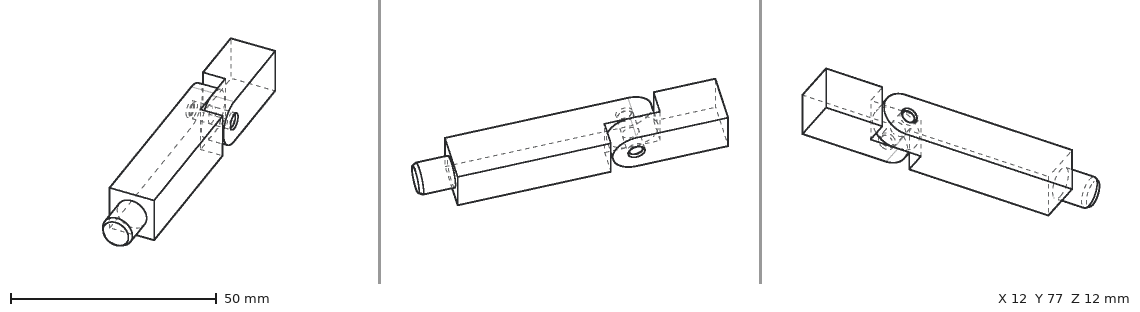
import cadquery as cq
import math


bar_side = 12.0
half_side = bar_side / 2

total_length = 77.0
pivot_to_short_end = 23.0
shaft_length = 9.0
long_lug_reach = 7.0
end_clearance = 0.5

shaft_diameter = 8.0
shaft_chamfer_length = 1.0
shaft_chamfer_angle = 30

pin_diameter = 4.2
pin_chamfer = 0.5
pin_recess = 0.5

short_end_y = pivot_to_short_end
shaft_end_y = short_end_y - total_length
bar_end_y = shaft_end_y + shaft_length
shaft_chamfer_radial = shaft_chamfer_length * math.tan(math.radians(shaft_chamfer_angle))
long_tip_y = long_lug_reach
short_tip_y = -half_side
short_shoulder_y = long_tip_y + end_clearance
long_shoulder_y = short_tip_y - end_clearance


def block(x_start, x_end, y_start, y_end):
    """Full-height block, centred on the pivot axis in Z."""
    return cq.Workplane("XY").box(
        x_end - x_start, y_end - y_start, bar_side, centered=(False, False, True)
    ).translate((x_start, y_start, 0))


def x_cylinder(diameter, x_start, x_end, y=0.0):
    """Cylinder along X between two X positions."""
    return (
        cq.Workplane("YZ", origin=(x_start, y, 0))
        .circle(diameter / 2)
        .extrude(x_end - x_start)
    )


def rounded_lug(x_start, x_end, root_y, round_centre_y):
    """Half-width lug from its root to a full-round tip."""
    near_y = min(root_y, round_centre_y)
    far_y = max(root_y, round_centre_y)
    return block(x_start, x_end, near_y, far_y).union(
        x_cylinder(bar_side, x_start, x_end, round_centre_y)
    )


def pin_bore():
    """Through bore for the pin, across the full bar width."""
    return x_cylinder(pin_diameter, -half_side, half_side)


def make_long_arm():
    """Bar with a lug on the -X half and a chamfered shaft on its free end."""
    bar = block(-half_side, half_side, bar_end_y, long_shoulder_y)
    lug = rounded_lug(-half_side, 0, long_shoulder_y, long_tip_y - half_side)
    shaft = (
        cq.Workplane("XZ", origin=(0, bar_end_y, 0))
        .circle(shaft_diameter / 2)
        .extrude(shaft_length)
        .faces("<Y")
        .chamfer(shaft_chamfer_length, shaft_chamfer_radial)
    )
    return bar.union(lug).union(shaft).cut(pin_bore())


def make_short_arm():
    """Plain bar with a lug on the +X half."""
    bar = block(-half_side, half_side, short_shoulder_y, short_end_y)
    lug = rounded_lug(0, half_side, short_shoulder_y, 0)
    return bar.union(lug).cut(pin_bore())


def make_pin():
    """Pivot pin through both lugs, chamfered at both ends."""
    pin_end_x = half_side - pin_recess
    return x_cylinder(pin_diameter, -pin_end_x, pin_end_x).faces("<X or >X").chamfer(pin_chamfer)


long_arm = make_long_arm()
short_arm = make_short_arm()
pin = make_pin()

result = cq.Compound.makeCompound([long_arm.val(), short_arm.val(), pin.val()])